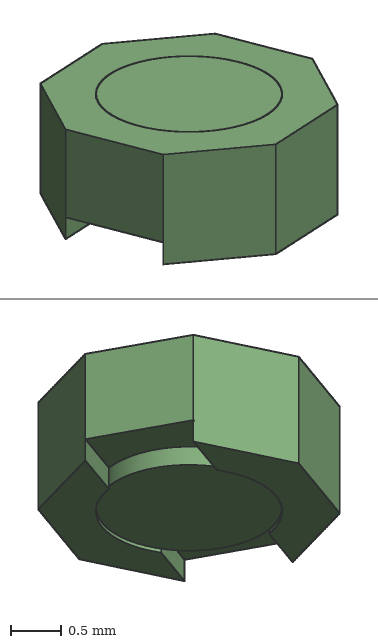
import cadquery as cq
import math

side_count = 8
width_across_flats = 2.78
ring_height = 1.2
bore_diameter = 1.86

slot_width = width_across_flats * math.tan(math.pi / side_count)
slot_height = 0.24

core_diameter = 1.85
core_bottom = 0.04


def make_ring():
    """Regular octagon with a through bore and a slot along Y in its underside."""
    ring = (
        cq.Workplane("XY")
        .polygon(side_count, width_across_flats, circumscribed=True)
        .extrude(ring_height)
    )
    bore = cq.Workplane("XY").circle(bore_diameter / 2).extrude(ring_height)
    slot = cq.Workplane("XY").box(
        slot_width, width_across_flats, slot_height, centered=(True, True, False)
    )
    return ring.cut(bore).cut(slot)


def make_core():
    """Plain round core standing in the bore with a narrow gap all round."""
    return (
        cq.Workplane("XY")
        .workplane(offset=core_bottom)
        .circle(core_diameter / 2)
        .extrude(ring_height - core_bottom)
    )


ring = make_ring()
core = make_core()

result = cq.Compound.makeCompound([ring.val(), core.val()])